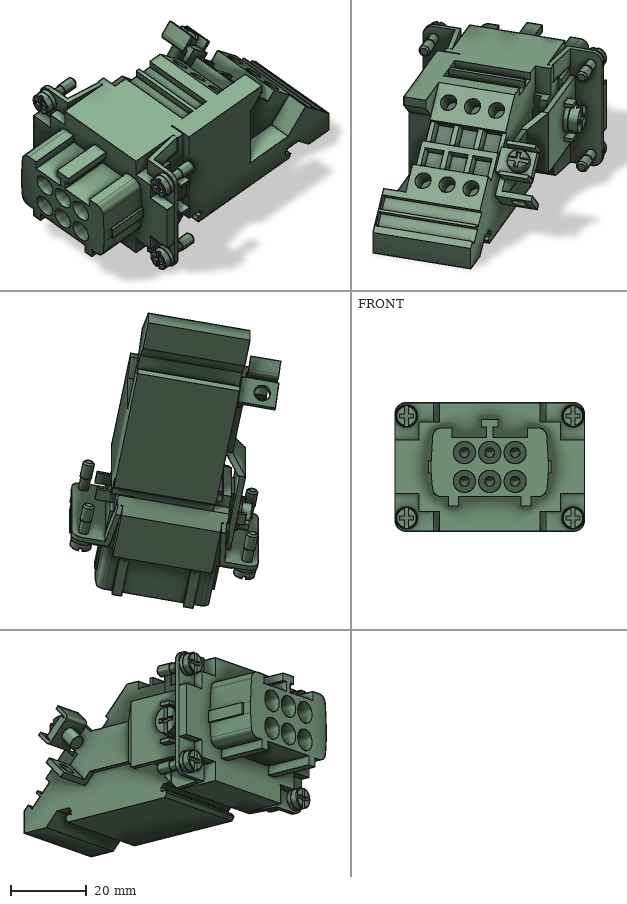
import cadquery as cq

total_length = 82.5
total_width = 50.0
height = 34.0
mid_height = height / 2

hood_length = 14.0
hood_bottom, hood_top = 9.15, 27.3
hood_mid_half_width = 15.4
hood_end_half_width = 14.9
hood_side_flat = (15.4, 18.6)
hood_corner_radius = 2.5
hood_recess_half_width = 9.9
hood_recess_floor = 24.8
key_stem_width, key_head_width = 1.65, 4.3
key_head_bottom, key_head_top = 27.5, 29.5
foot_width, foot_depth, foot_offset = 2.55, 2.5, 9.6
side_rib_half_width, side_rib_start = 16.1, 2.5

contact_pitch = 6.7
contact_columns = (-contact_pitch, 0.0, contact_pitch)
contact_heights = (13.2, 20.8)
contact_bore_diameter, contact_bore_depth = 5.85, 12.4
pin_hole_diameter, pin_hole_cone_depth = 2.55, 1.2

cover_depth = 2.6
plate_front = hood_length + cover_depth
plate_thickness = 1.2
plate_back = plate_front + plate_thickness
plate_corner_radius = 3.0
cross_half_width, cross_bottom, cross_top = 18.65, 5.2, 28.9
cover_half_width = 24.9
cover_end_bottom, cover_end_top = 10.0, 24.1

core_half_width, neck_half_width = 13.3, 14.85
neck_start, block_back = 28.05, 30.0
wide_half_width = 16.0
wide_bottom, wide_top, wide_back = 5.9, 28.05, 24.2
pad_bottom, pad_top = 11.9, 22.1
front_chamfer = 3.9
tongue_end, tongue_thickness = 27.8, 1.2
tab_half_reach, tab_front, tab_back, tab_thickness, tab_offset = 20.05, 24.2, 27.2, 1.0, 5.1

body_left, body_right, wall_right = -10.6, 10.6, 16.75
rear_face_height = 6.1
upper_slope_start = 46.9
upper_ledge = 54.3
upper_undercut = 0.9
upper_foot = 57.3
lower_step_top = 60.4
lower_step_foot = 65.8
rear_slope_end = 68.2
rail_lip_start, rail_foot_start, rail_groove_end = 33.1, 33.8, 35.1
rail_foot_middle, rail_clearance_end = 50.65, 71.0
wall_front_gap = 0.25
wall_rear, wall_lip_height = 57.4, 31.5
wall_notch_end = 53.2
wall_slot_start, wall_slot_floor_end = 73.75, 67.2

pocket_width, pocket_length, pocket_depth = 5.3, 5.9, 3.9
terminal_hole_diameter, terminal_hole_depth = 4.3, 6.6
rear_terminal_y, front_terminal_y = 71.0, 50.4
label_groove_length, label_groove_depth = 4.0, 2.1
top_groove_starts = (34.0, 39.0)
rear_groove_ends = (81.1, 77.8)
rear_groove_depth = 1.8
rear_groove_right = 16.3

seat_shelf_back, seat_lug_back, seat_post_back = 31.35, 32.3, 33.3
seat_post_right = -12.7

strap_thickness = 1.6
strap_outer_front, strap_outer_rear = -17.5, -13.1
strap_inner_rear = strap_outer_rear + strap_thickness
strap_bend_start, strap_bend_end = 39.6, 44.2
strap_bottom, strap_top = 7.9, 26.1
strap_narrow_half_height = 5.5
strap_bend_lag = 0.5
strap_end_y = 59.4
flange_left = -21.5
clamp_right = -13.45
clamp_screw_x = (flange_left + clamp_right) / 2

clamp_y, clamp_z = 61.3, 21.45
clamp_half_width, clamp_height, clamp_thickness = 4.8, 4.95, 1.0
clamp_bend_radius = 1.15
end_half_width, end_top = 3.5, 2.3
nut_tab_reach, nut_tab_top, nut_tab_bottom = 8.7, -2.6, -9.7
nut_tab_inner, strap_upper_corner = -4.45, -1.8
nut_hole_diameter = 4.3
clamp_shaft_diameter, clamp_shaft_length = 4.0, 4.2
clamp_head_diameter, clamp_head_top, clamp_head_rounding = 5.85, 5.3, 1.15

screw_slot_width, screw_slot_depth = 1.15, 1.2
clamp_bar_length = 4.1
earth_screw_y = 24.2
earth_washer_diameter, earth_washer_thickness = 8.1, 1.3
earth_head_diameter, earth_head_height, earth_bar_length = 7.3, 2.6, 4.6
corner_screw_x, corner_screw_z = 21.95, 13.45
corner_head_diameter, corner_head_front, corner_head_chamfer = 5.6, 13.45, 0.25
corner_washer_diameter, corner_washer_thickness = 5.85, 1.15
corner_neck_diameter, corner_thread_diameter, corner_thread_chamfer = 2.6, 3.05, 0.5
corner_thread_start, corner_screw_end = 21.45, 25.9
corner_bar_length, corner_slot_width, corner_slot_depth = 3.6, 1.0, 0.8


def box(x, y, z):
    """Box from three (low, high) ranges."""
    size = [high - low for low, high in (x, y, z)]
    return cq.Workplane("XY").box(*size, centered=False).translate((x[0], y[0], z[0]))


def side_prism(points, x):
    """Closed Y-Z outline swept over an X range."""
    return cq.Workplane("YZ", origin=(x[0], 0, 0)).polyline(points).close().extrude(x[1] - x[0])


def plan_prism(points, z):
    """Closed X-Y outline swept over a Z range."""
    return cq.Workplane("XY", origin=(0, 0, z[0])).polyline(points).close().extrude(z[1] - z[0])


def front_prism(points, y):
    """Closed X-Z outline swept over a Y range."""
    return cq.Workplane("XZ", origin=(0, y[0], 0)).polyline(points).close().extrude(y[0] - y[1])


def tilted(x, y, z):
    """Frame on a rear-facing 45 degree slope: local x climbs the slope, local y is +X."""
    return cq.Workplane(cq.Plane(origin=(x, y, z), xDir=(0, -1, 1), normal=(0, 1, 1)))


def disc(frame, bottom, top, diameter):
    """Cylinder between two heights along the normal of a frame."""
    return frame.workplane(offset=bottom).circle(diameter / 2).extrude(top - bottom)


def cross_recess(frame, top, depth, length, width, slot_length):
    """Screwdriver recess: a full slot with a shorter bar across it."""
    bar = frame.workplane(offset=top - depth).rect(length, width).extrude(2 * depth)
    slot = frame.workplane(offset=top - depth).rect(width, slot_length).extrude(2 * depth)
    return bar.union(slot)


def hood():
    outline = [
        (-hood_end_half_width, hood_bottom), (hood_end_half_width, hood_bottom),
        (hood_mid_half_width, hood_side_flat[0]), (hood_mid_half_width, hood_side_flat[1]),
        (hood_end_half_width, hood_top), (-hood_end_half_width, hood_top),
        (-hood_mid_half_width, hood_side_flat[1]), (-hood_mid_half_width, hood_side_flat[0]),
    ]
    span = (0, hood_length)
    solid = front_prism(outline, span)
    for x in (-hood_end_half_width, hood_end_half_width):
        for z in (hood_bottom, hood_top):
            corner = cq.selectors.NearestToPointSelector((x, hood_length / 2, z))
            solid = solid.edges(corner).fillet(hood_corner_radius)

    recess = (-hood_recess_half_width, hood_recess_half_width)
    solid = solid.cut(box(recess, span, (hood_recess_floor, hood_top)))
    solid = solid.union(box((-key_stem_width / 2, key_stem_width / 2), span,
                            (hood_recess_floor, key_head_bottom)))
    solid = solid.union(box((-key_head_width / 2, key_head_width / 2), span,
                            (key_head_bottom, key_head_top)))
    for side in (-1, 1):
        foot_x = side * foot_offset
        solid = solid.union(box((foot_x - foot_width / 2, foot_x + foot_width / 2), span,
                                (hood_bottom - foot_depth, hood_bottom)))
    rib = (-side_rib_half_width, side_rib_half_width)
    return solid.union(box(rib, (side_rib_start, hood_length), hood_side_flat))


def contact_holes():
    """Stepped contact bores that end in a small conical pilot."""
    radius = contact_bore_diameter / 2
    pin_radius = pin_hole_diameter / 2
    tip = contact_bore_depth + pin_hole_cone_depth
    half_profile = [(0, 0), (radius, 0), (radius, contact_bore_depth),
                    (pin_radius, contact_bore_depth), (0, tip)]
    bore = cq.Workplane("XY").polyline(half_profile).close().revolve(360, (0, 0, 0), (0, 1, 0))
    holes = cq.Workplane("XY")
    for x in contact_columns:
        for z in contact_heights:
            holes = holes.add(bore.translate((x, 0, z)))
    return holes.combine()


def flange_and_block():
    neck = (-neck_half_width, neck_half_width)
    core = (-core_half_width, core_half_width)
    wide = (-wide_half_width, wide_half_width)
    plate_span = (plate_front, plate_back)

    plate = box((-total_width / 2, total_width / 2), plate_span, (0, height))
    plate = plate.edges("|Y").fillet(plate_corner_radius)
    plate = plate.cut(box(neck, plate_span, (0, height)))

    solid = box(core, (hood_length, block_back), (0, height))
    solid = solid.union(box(neck, (hood_length, block_back), (cross_bottom, cross_top)))
    solid = solid.union(box(neck, (neck_start, block_back), (0, height)))
    solid = solid.union(plate)

    cover = (hood_length, plate_front)
    solid = solid.union(box((-cross_half_width, cross_half_width), cover, (cross_bottom, cross_top)))
    solid = solid.union(box((-cover_half_width, cover_half_width), cover,
                            (cover_end_bottom, cover_end_top)))

    solid = solid.union(box(wide, (plate_front, wide_back), (wide_bottom, wide_top)))
    solid = solid.union(box(wide, (wide_back, block_back), (pad_bottom, pad_top)))
    return solid


def spring_tongues():
    """Four tongues bent back from the plate along the block's recessed corners."""
    tongues = cq.Workplane("XY")
    for side in (-1, 1):
        outline = [
            (side * neck_half_width, plate_front),
            (side * core_half_width, tongue_end),
            (side * (core_half_width + tongue_thickness), tongue_end + tongue_thickness / 2),
            (side * (neck_half_width + tongue_thickness), plate_back),
            (side * (neck_half_width + tongue_thickness), plate_front),
        ]
        for z in ((0, cross_bottom), (cross_top, height)):
            tongues = tongues.add(plan_prism(outline, z))
    return tongues.combine()


def side_tabs():
    """Two thin tabs on each side; those on the left pass through the earth strap."""
    tabs = cq.Workplane("XY")
    for level in (-1, 1):
        middle = mid_height + level * tab_offset
        z = (middle - tab_thickness / 2, middle + tab_thickness / 2)
        tabs = tabs.add(box((-tab_half_reach, tab_half_reach), (tab_front, tab_back), z))
    return tabs.combine()


def strap_seat():
    """Stepped lugs behind the block that guide the earth strap."""
    tall = (strap_bottom, strap_top)
    lug = box((-wide_half_width, body_left), (block_back, seat_lug_back), (pad_bottom, pad_top))
    shelf = box((-neck_half_width, body_left), (block_back, seat_shelf_back), tall)
    post = box((-neck_half_width, seat_post_right), (block_back, seat_post_back), tall)
    return lug.union(shelf).union(post)


def rear_slope_z(y):
    return rear_face_height + total_length - y


def upper_slope_z(y):
    return height + upper_slope_start - y


rear_edge_z = rear_slope_z(rear_slope_end)
lower_foot_z = rear_edge_z - (rear_slope_end - lower_step_foot)
lower_top_z = lower_foot_z + lower_step_foot - lower_step_top
step_bottom_z = lower_top_z - (lower_step_top - upper_foot)
undercut_y = upper_ledge - upper_undercut
undercut_z = upper_slope_z(upper_ledge) - upper_undercut
upper_foot_z = undercut_z - (upper_foot - undercut_y)


def underside():
    """Underside from front to rear, with a hooked recess for a mounting rail at each end of the foot."""
    lip_z, groove_z, shoulder_z = 1.15, 2.0, 3.0
    shoulder = rail_groove_end - (front_chamfer - shoulder_z)
    front_hook = [
        (shoulder, front_chamfer), (rail_groove_end, shoulder_z), (rail_groove_end, groove_z),
        (rail_foot_start, groove_z), (rail_lip_start, lip_z), (rail_foot_start, 0),
    ]
    rear_hook = [(2 * rail_foot_middle - y, z) for y, z in reversed(front_hook)]
    return [(block_back, front_chamfer)] + front_hook + rear_hook + [
        (rail_clearance_end, front_chamfer), (rail_clearance_end + front_chamfer, 0), (total_length, 0),
    ]


def terraces():
    """Rear side from bottom to top: slopes at 45 degrees with a row of terminals on each."""
    return [
        (total_length, rear_face_height),
        (rear_slope_end, rear_edge_z),
        (lower_step_foot, lower_foot_z),
        (lower_step_top, lower_top_z),
        (upper_foot, step_bottom_z),
        (upper_foot, upper_foot_z),
        (undercut_y, undercut_z),
        (upper_ledge, upper_slope_z(upper_ledge)),
        (upper_slope_start, height),
        (block_back, height),
    ]


def side_wall():
    """Taller wall on the right with a deep notch open to the rear."""
    slot_top_z = rear_slope_z(wall_slot_start)
    slot_floor_z = slot_top_z - (wall_slot_start - wall_slot_floor_end)
    profile = underside() + [
        (total_length, rear_face_height),
        (wall_slot_start, slot_top_z),
        (wall_slot_floor_end, slot_floor_z),
        (wall_notch_end, slot_floor_z),
        (wall_notch_end, wall_lip_height - (wall_rear - wall_notch_end)),
        (wall_rear, wall_lip_height),
        (wall_rear, height),
        (block_back, height),
    ]
    wall = side_prism(profile, (body_right, wall_right))
    front_gap = box((body_right, wall_right), (block_back, block_back + wall_front_gap), (0, height))
    return wall.cut(front_gap)


def wire_pocket(x, y, z):
    """Pocket square to the slope, starting at the foot of a terrace."""
    return (tilted(x, y, z).center(pocket_length / 2, 0)
            .rect(pocket_length, pocket_width).extrude(-pocket_depth))


def terminal_body():
    solid = side_prism(underside() + terraces(), (body_left, body_right)).union(side_wall())

    for x in contact_columns:
        for y, z in ((lower_step_foot, lower_foot_z), (upper_foot, upper_foot_z)):
            solid = solid.cut(wire_pocket(x, y, z))
        for y, z in ((rear_terminal_y, rear_slope_z(rear_terminal_y)),
                     (front_terminal_y, upper_slope_z(front_terminal_y))):
            solid = solid.cut(disc(tilted(x, y, z), -terminal_hole_depth, 0, terminal_hole_diameter))

    for start in top_groove_starts:
        solid = solid.cut(box((body_left, body_right), (start, start + label_groove_length),
                              (height - label_groove_depth, height)))
    groove_width = rear_groove_right - body_left
    for y in rear_groove_ends:
        groove = (tilted((body_left + rear_groove_right) / 2, y, rear_slope_z(y))
                  .center(label_groove_length / 2, 0)
                  .rect(label_groove_length, groove_width).extrude(-rear_groove_depth))
        solid = solid.cut(groove)
    return solid


def clamp_prism(points, x):
    """Outline in the clamp frame (across, outward) swept over an X range."""
    plane = cq.Plane(origin=(x[0], clamp_y, clamp_z), xDir=(0, -1, 1), normal=(-1, 0, 0))
    return cq.Workplane(plane).polyline(points).close().extrude(x[0] - x[1])


def strap():
    """Bent strap: its plan shape swept over Z and trimmed to its side shape."""
    outer_front, outer_rear = strap_outer_front, strap_outer_rear
    inner_front, inner_rear = outer_front + strap_thickness, strap_inner_rear
    rear = clamp_y + nut_tab_reach
    plan = [
        (outer_front, plate_back), (outer_front, strap_bend_start), (outer_rear, strap_bend_end),
        (outer_rear, rear), (inner_rear, rear), (inner_rear, strap_bend_end - strap_bend_lag),
        (inner_front, strap_bend_start - strap_bend_lag), (inner_front, plate_back),
    ]
    bent = plan_prism(plan, (0, height))

    narrow = (mid_height - strap_narrow_half_height, mid_height + strap_narrow_half_height)
    front_part = [
        (plate_back, strap_bottom), (strap_bend_start, strap_bottom), (strap_bend_end, narrow[0]),
        (strap_end_y, narrow[0]), (strap_end_y, narrow[1]),
        (strap_bend_end, narrow[1]), (strap_bend_start, strap_top), (plate_back, strap_top),
    ]
    sweep = (strap_outer_front, inner_rear)
    silhouette = side_prism(front_part, sweep)
    rear_part = [
        (end_half_width, end_top), (-end_half_width, end_top), (-end_half_width, nut_tab_top),
        (-nut_tab_reach, nut_tab_top), (-nut_tab_reach, nut_tab_bottom),
        (nut_tab_inner, nut_tab_bottom), (end_half_width, strap_upper_corner),
    ]
    return bent.intersect(silhouette.union(clamp_prism(rear_part, sweep)))


def clamp():
    """Screw flange, nut flange and U-shaped wire clamp at the end of the strap."""
    flange_x = (flange_left, strap_inner_rear)
    clamp_x = (flange_left, clamp_right)
    screw_flange = clamp_prism([
        (-end_half_width, end_top - strap_thickness), (end_half_width, end_top - strap_thickness),
        (end_half_width, end_top), (-end_half_width, end_top)], flange_x)
    nut_flange = clamp_prism([
        (-nut_tab_reach, nut_tab_bottom), (strap_thickness - nut_tab_reach, nut_tab_bottom),
        (strap_thickness - nut_tab_reach, nut_tab_top), (-nut_tab_reach, nut_tab_top)], flange_x)
    hole_middle = (nut_tab_top + nut_tab_bottom) / 2
    nut_hole = (cq.Workplane(cq.Plane(origin=(clamp_screw_x, clamp_y, clamp_z),
                                      xDir=(0, 1, 1), normal=(0, 1, -1)))
                .center(hole_middle, 0).circle(nut_hole_diameter / 2).extrude(2 * nut_tab_reach))
    nut_flange = nut_flange.cut(nut_hole)

    inner = clamp_half_width - clamp_thickness
    channel = clamp_prism([
        (-clamp_half_width, 0), (clamp_half_width, 0), (clamp_half_width, clamp_height),
        (inner, clamp_height), (inner, clamp_thickness), (-inner, clamp_thickness),
        (-inner, clamp_height), (-clamp_half_width, clamp_height)], clamp_x)
    frame = tilted(clamp_screw_x, clamp_y, clamp_z)
    for side in (-1, 1):
        corner = frame.plane.toWorldCoords((side * clamp_half_width, 0, 0))
        channel = channel.edges(cq.selectors.NearestToPointSelector(corner.toTuple()))
        channel = channel.fillet(clamp_bend_radius)

    shaft = disc(frame, -clamp_shaft_length, end_top, clamp_shaft_diameter)
    return screw_flange.union(nut_flange).union(channel).union(shaft).union(clamp_screw_head(frame))


def clamp_screw_head(frame):
    """Domed cross-recess head that rests on the screw flange."""
    head = disc(frame, end_top, clamp_head_top, clamp_head_diameter)
    head = head.faces(cq.selectors.DirectionMinMaxSelector(cq.Vector(0, 1, 1))).edges()
    head = head.fillet(clamp_head_rounding)
    return head.cut(cross_recess(frame, clamp_head_top, screw_slot_depth,
                                 clamp_bar_length, screw_slot_width, clamp_head_diameter))


def earth_screw():
    """Screw with a washer that holds the strap on the left side."""
    frame = cq.Workplane(cq.Plane(origin=(strap_outer_front, earth_screw_y, mid_height),
                                  xDir=(0, 1, 0), normal=(-1, 0, 0)))
    head_top = earth_washer_thickness + earth_head_height
    screw = disc(frame, 0, earth_washer_thickness, earth_washer_diameter)
    screw = screw.union(disc(frame, earth_washer_thickness, head_top, earth_head_diameter))
    return screw.cut(cross_recess(frame, head_top, screw_slot_depth,
                                  earth_bar_length, screw_slot_width, earth_head_diameter))


def corner_screw(x, z):
    """Flange screw with a washer, a thin neck and a thicker threaded end."""
    frame = cq.Workplane(cq.Plane(origin=(x, plate_front, z), xDir=(1, 0, 0), normal=(0, -1, 0)))
    head_height = plate_front - corner_head_front
    screw = disc(frame, 0, head_height, corner_head_diameter)
    screw = screw.faces("<Y").edges().chamfer(corner_head_chamfer)
    screw = screw.union(disc(frame, 0, corner_washer_thickness, corner_washer_diameter))
    screw = screw.union(disc(frame, plate_front - corner_thread_start, 0, corner_neck_diameter))
    thread = disc(frame, plate_front - corner_screw_end, plate_front - corner_thread_start,
                  corner_thread_diameter)
    screw = screw.union(thread.faces(">Y").chamfer(corner_thread_chamfer))
    return screw.cut(cross_recess(frame, head_height, corner_slot_depth,
                                  corner_bar_length, corner_slot_width, corner_head_diameter))


underside_chamfer = side_prism(
    [(block_back - front_chamfer, 0), (block_back, 0), (block_back, front_chamfer)],
    (-total_width / 2, total_width / 2))

result = hood().union(flange_and_block()).union(spring_tongues())
result = result.cut(underside_chamfer).cut(contact_holes())
result = result.union(side_tabs()).union(strap_seat()).union(terminal_body())
result = result.union(strap()).union(clamp()).union(earth_screw())
for screw_x in (-corner_screw_x, corner_screw_x):
    for screw_z in (mid_height - corner_screw_z, mid_height + corner_screw_z):
        result = result.union(corner_screw(screw_x, screw_z))